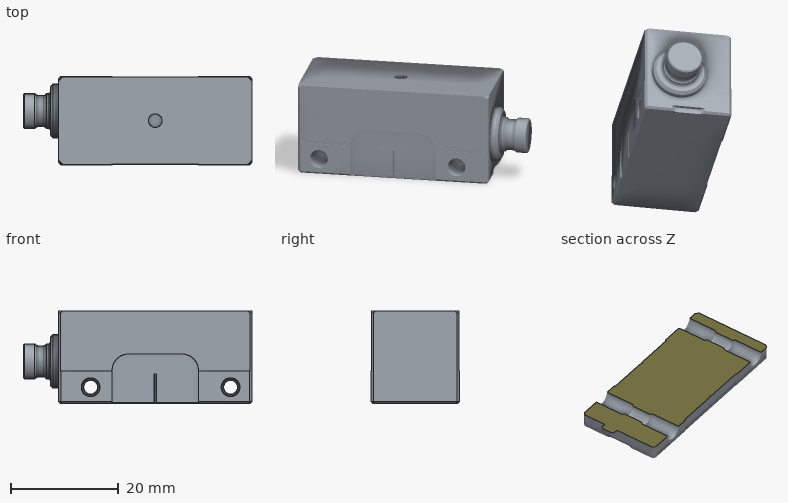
import cadquery as cq
import math

overall_length = 42.5
body_length = 36.0
body_start = overall_length - body_length
body_middle = body_start + body_length / 2
body_width = 16.5
body_height = 17.2

upright_chamfer = 0.5
base_chamfer = 0.4
corner_facet_drop = 0.4

pad_height = 6.0
pad_length = 10.0
side_step = 0.1
panel_length = body_length - 2 * pad_length
panel_height = 9.2
panel_radius = 3.0

mark_height = 5.5
mark_width = 0.5
mark_depth = 0.2

passage_diameter = 2.6
bore_diameter = 3.3
bore_depth = 6.0
mouth_chamfer = 0.1
drill_half_angle = 59
bore_cone_length = (bore_diameter - passage_diameter) / 2 / math.tan(math.radians(drill_half_angle))
hole_z = 3.0
front_hole_inset = 6.0
back_hole_inset = 4.0
hole_xs = (body_start + front_hole_inset, overall_length - back_hole_inset)

top_recess_diameter = 2.5
top_recess_depth = 0.5

notch_flat_width = 3.7
notch_height = 1.0
notch_depth = 0.65
notch_radius = 1.35

connector_y = 1.8
connector_z = 7.8
flange_radius = 10.0 / 2
flange_thickness = 1.5
flange_chamfer = 0.5
plug_radius = 6.5 / 2
plug_chamfer = 0.2
groove_radius = 5.8 / 2
groove_start = 2.1
groove_end = 4.3
groove_front_run = 0.45
groove_back_run = 0.25
groove_fillet = 0.5
flare = 0.25


def make_housing():
    """Block with chamfered upright and bottom edges."""
    block = cq.Workplane("XY").box(body_length, body_width, body_height, centered=(True, True, False))
    block = block.translate((body_middle, 0, 0))
    return block.edges("|Z").chamfer(upright_chamfer).faces("<Z").chamfer(base_chamfer)


def side_recess(side, depth, outline):
    """Cut body that sinks an XZ outline into one long side (-1 or 1) by a depth."""
    inner = body_width / 2 - depth
    return outline.extrude(-side * depth).translate((0, side * inner, 0))


def main_face_outline():
    """Whole side without the two pads."""
    return (
        cq.Workplane("XZ")
        .moveTo(body_start, pad_height)
        .lineTo(body_start + pad_length, pad_height)
        .lineTo(body_start + pad_length, 0)
        .lineTo(overall_length - pad_length, 0)
        .lineTo(overall_length - pad_length, pad_height)
        .lineTo(overall_length, pad_height)
        .lineTo(overall_length, body_height)
        .lineTo(body_start, body_height)
        .close()
    )


def panel_outline():
    """Arch standing on the base, with rounded upper corners."""
    return (
        cq.Workplane("XZ")
        .moveTo(body_middle - panel_length / 2, 0)
        .vLine(panel_height - panel_radius)
        .tangentArcPoint((panel_radius, panel_radius))
        .hLine(panel_length - 2 * panel_radius)
        .tangentArcPoint((panel_radius, -panel_radius))
        .vLine(panel_radius - panel_height)
        .close()
    )


def panel_mark(side):
    """Upright V groove in the sunk panel."""
    panel_y = side * (body_width / 2 - 2 * side_step)
    return (
        cq.Workplane("XY")
        .moveTo(body_middle - mark_width / 2, panel_y)
        .lineTo(body_middle, panel_y - side * mark_depth)
        .lineTo(body_middle + mark_width / 2, panel_y)
        .close()
        .extrude(mark_height)
    )


def top_corner_facet(end, side):
    """Cut body for the facet, equally inclined to X, Y and Z, at one top corner."""
    facet_x = body_middle + end * (body_length / 2 - upright_chamfer + side_step)
    facet_y = side * (body_width / 2 - side_step)
    facet_z = body_height - corner_facet_drop
    facet_plane = cq.Plane(origin=(facet_x, facet_y, facet_z), xDir=(end, -side, 0), normal=(end, side, 1))
    facet_cutter_size = 4.25
    return cq.Workplane(facet_plane).rect(facet_cutter_size, facet_cutter_size).extrude(facet_cutter_size)


def mounting_hole(x):
    """Through hole along Y, bored wider from both sides and chamfered at both mouths."""
    half_width = body_width / 2
    bore_end = half_width - bore_depth
    passage_radius = passage_diameter / 2
    bore_radius = bore_diameter / 2
    half_hole = (
        cq.Workplane("XY")
        .moveTo(0, 0)
        .lineTo(passage_radius, 0)
        .lineTo(passage_radius, bore_end - bore_cone_length)
        .lineTo(bore_radius, bore_end)
        .lineTo(bore_radius, half_width - mouth_chamfer)
        .lineTo(bore_radius + mouth_chamfer, half_width)
        .lineTo(0, half_width)
        .close()
        .revolve(360, (0, 0, 0), (0, 1, 0))
    )
    return half_hole.union(half_hole.mirror("XZ")).translate((x, 0, hole_z))


def end_notch():
    """Cut body for the notch; its inner corners are arcs that run out through the end face."""
    cutter_width = notch_flat_width + 2 * notch_radius
    cutter_length = 2 * notch_radius
    notch = cq.Workplane("XY").box(cutter_length, cutter_width, notch_height, centered=(False, True, False))
    notch = notch.edges("|Z and >X").fillet(notch_radius)
    return notch.translate((body_start + notch_depth - cutter_length, 0, 0))


def make_connector():
    """Turned plug with a rounded groove and a flange seated on the end face."""
    flange_front = body_start - flange_thickness
    connector = (
        cq.Workplane("XY")
        .moveTo(0, 0)
        .lineTo(0, plug_radius - plug_chamfer)
        .lineTo(plug_chamfer, plug_radius)
        .lineTo(groove_start, plug_radius)
        .lineTo(groove_start + groove_front_run, groove_radius)
        .lineTo(groove_end - groove_back_run, groove_radius)
        .lineTo(groove_end, plug_radius)
        .lineTo(flange_front - flare, plug_radius)
        .lineTo(flange_front, plug_radius + flare)
        .lineTo(flange_front, flange_radius - flange_chamfer)
        .lineTo(flange_front + flange_chamfer, flange_radius)
        .lineTo(body_start, flange_radius)
        .lineTo(body_start, 0)
        .close()
        .revolve(360, (0, 0, 0), (1, 0, 0))
    )
    groove_floor_edges = cq.selectors.RadiusNthSelector(0)
    connector = connector.edges("%CIRCLE").edges(groove_floor_edges).fillet(groove_fillet)
    return connector.translate((0, connector_y, connector_z))


housing = make_housing()
for side in (-1, 1):
    housing = housing.cut(side_recess(side, side_step, main_face_outline()))
    housing = housing.cut(side_recess(side, 2 * side_step, panel_outline()))
    housing = housing.cut(panel_mark(side))
    for end in (-1, 1):
        housing = housing.cut(top_corner_facet(end, side))

for x in hole_xs:
    housing = housing.cut(mounting_hole(x))

top_recess = cq.Workplane("XY").circle(top_recess_diameter / 2).extrude(-top_recess_depth)
housing = housing.cut(top_recess.translate((body_middle, 0, body_height)))
housing = housing.cut(end_notch())

result = housing.union(make_connector())